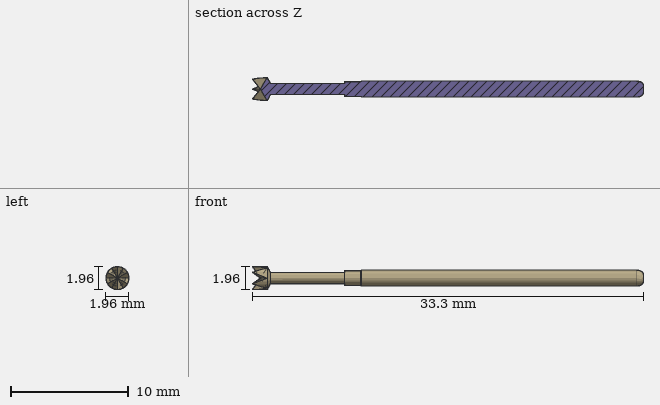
import cadquery as cq
import math

TOTAL_LENGTH = 33.27
HEAD_DIAMETER = 1.96
HEAD_RIM_X = 1.28
HEAD_BACK_X = 1.55
PLUNGER_DIAMETER = 0.97
COLLAR_X = 7.85
BARREL_X = 9.3
BARREL_LEAD_IN = 0.1
BARREL_DIAMETER = 1.38
COLLAR_DIAMETER = 1.28
TAIL_X = 32.67
TAIL_FLAT_DIAMETER = 0.6

TOOTH_COUNT = 6
CROWN_CENTRE_DEPTH = 0.68
VALLEY_DEPTH = 1.24
CUTTER_REACH = 2.0
CUTTER_FRONT = 5.0

HEAD_RADIUS = HEAD_DIAMETER / 2


def make_body():
    """Revolve the stepped pin, before the teeth are cut, about the X axis."""
    barrel_radius = BARREL_DIAMETER / 2
    profile = (
        cq.Workplane("XY")
        .moveTo(0, 0)
        .lineTo(0, HEAD_RADIUS)
        .lineTo(HEAD_RIM_X, HEAD_RADIUS)
        .lineTo(HEAD_BACK_X, PLUNGER_DIAMETER / 2)
        .lineTo(COLLAR_X, PLUNGER_DIAMETER / 2)
        .lineTo(COLLAR_X, COLLAR_DIAMETER / 2)
        .lineTo(BARREL_X - BARREL_LEAD_IN, COLLAR_DIAMETER / 2)
        .lineTo(BARREL_X, barrel_radius)
        .lineTo(TAIL_X, barrel_radius)
        .ellipseArc(
            TOTAL_LENGTH - TAIL_X,
            barrel_radius - TAIL_FLAT_DIAMETER / 2,
            angle1=0,
            angle2=90,
            sense=-1,
        )
        .lineTo(TOTAL_LENGTH, 0)
        .close()
    )
    return profile.revolve(360, (0, 0, 0), (1, 0, 0))


def crown_point(angle, depth_at_rim):
    """Point on a straight crown edge, from the centre through the rim to the cutter edge."""
    x = CROWN_CENTRE_DEPTH + (depth_at_rim - CROWN_CENTRE_DEPTH) * CUTTER_REACH
    radius = HEAD_RADIUS * CUTTER_REACH
    return cq.Vector(x, radius * math.sin(angle), radius * math.cos(angle))


def triangle(a, b, c):
    """Flat triangular face through three points."""
    return cq.Face.makeFromWires(cq.Wire.makePolygon([a, b, c], close=True))


def make_crown_cutter():
    """Faceted star that removes everything in front of the tooth flanks."""
    centre = cq.Vector(CROWN_CENTRE_DEPTH, 0, 0)
    front_apex = cq.Vector(-CUTTER_FRONT, 0, 0)
    half_pitch = math.pi / TOOTH_COUNT
    rim = []
    for i in range(TOOTH_COUNT):
        tooth_angle = 2 * half_pitch * i
        rim.append(crown_point(tooth_angle, 0))
        rim.append(crown_point(tooth_angle + half_pitch, VALLEY_DEPTH))
    faces = []
    for i, start in enumerate(rim):
        end = rim[(i + 1) % len(rim)]
        faces.append(triangle(centre, start, end))
        faces.append(triangle(front_apex, end, start))
    return cq.Workplane(cq.Solid.makeSolid(cq.Shell.makeShell(faces)))


result = make_body().cut(make_crown_cutter())